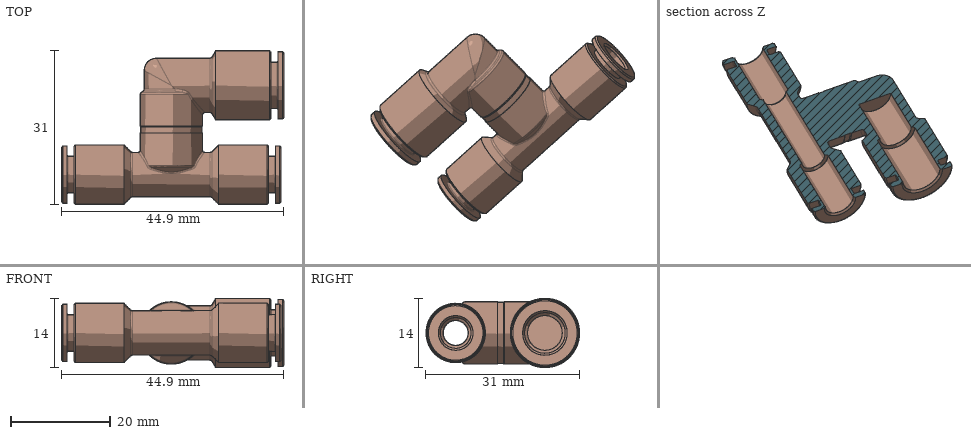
import cadquery as cq
import math

run_half_length = 22.15
elbow_length = 22.75
elbow_offset = 18.0

run_pipe_radius = 4.5
run_collar_radius = 6.0
run_neck_radius = 3.7
run_flange_radius = 5.8
run_collar_start = 9.55
run_collar_end = 19.65
run_flange_start = 21.0
run_taper_length = 1.5

elbow_pipe_radius = 5.5
elbow_collar_radius = 7.0
elbow_neck_radius = 4.7
elbow_flange_radius = 6.8
elbow_collar_start = 8.95
elbow_collar_end = 20.1
elbow_flange_start = 21.5
elbow_taper_length = 0.87

pipe_start = 7.0
rim_chamfer = 0.3
taper_fillet = 0.55
neck_fillet = 0.2

branch_radius = 6.3
groove_radius = 6.2
groove_start = 8.4
groove_end = 9.6
groove_chamfer_length = 0.25
branch_foot = 1.6
branch_top = 16.45
cone_tip_radius = 3.0
cone_half_angle = 57.0
branch_rim_fillet = 0.5
foot_fillet = 0.4
top_fillet = 0.5

corner_fillet = 2.5
corner_core_depth = 1.5

neck_wall = 0.6
bore_step = 0.6
socket_depth = 12.5
socket_chamfer = 0.4
socket_cone_length = 0.35

cone_length = (branch_radius - cone_tip_radius) / math.tan(math.radians(cone_half_angle))
pick_margin = 0.1


def revolve_about_x(points):
    return cq.Workplane("XY").polyline(points).close().revolve(360, (0, 0, 0), (1, 0, 0))


def revolve_about_y(points):
    return cq.Workplane("XY").polyline(points).close().revolve(360, (0, 0, 0), (0, 1, 0))


def prism(points):
    """Prism along Z, centred on Z = 0 and taller than the part."""
    return cq.Workplane("XY").polyline(points).close().extrude(2 * elbow_collar_radius, both=True)


def box_selector(x_range, y_range, radius):
    """Select edges lying wholly inside the given X and Y ranges and |Z| < radius."""
    return cq.selectors.BoxSelector(
        (x_range[0] - pick_margin, y_range[0] - pick_margin, -radius - pick_margin),
        (x_range[1] + pick_margin, y_range[1] + pick_margin, radius + pick_margin),
        boundingbox=True,
    )


def make_port(pipe_radius, collar_radius, neck_radius, flange_radius,
              collar_start, taper_length, collar_end, flange_start, end):
    """Solid port along +X: pipe, tapered collar, neck and end flange."""
    pipe_end = collar_start - taper_length
    port = revolve_about_x([
        (pipe_start, 0),
        (pipe_start, pipe_radius),
        (pipe_end, pipe_radius),
        (collar_start, collar_radius),
        (collar_end - rim_chamfer, collar_radius),
        (collar_end, collar_radius - rim_chamfer),
        (collar_end, neck_radius),
        (flange_start, neck_radius),
        (flange_start, flange_radius),
        (end - rim_chamfer, flange_radius),
        (end, flange_radius - rim_chamfer),
        (end, 0),
    ])
    for x, radius, fillet in ((pipe_end, pipe_radius, taper_fillet), (flange_start, neck_radius, neck_fillet)):
        port = port.edges(box_selector((x, x), (-radius, radius), radius)).fillet(fillet)
    return port


def fillet_branch_rim(body, y):
    rim = box_selector((-branch_radius, branch_radius), (y, y), branch_radius)
    return body.edges(rim).fillet(branch_rim_fillet)


def fillet_junction(body, y_range, fillet):
    """Round the curves where the branch meets the pipe crossing it."""
    near = box_selector((-branch_radius, branch_radius), y_range, branch_radius)
    curves = []
    for edge in body.edges(near).vals():
        box = edge.BoundingBox()
        is_shoulder_ring = edge.geomType() == "CIRCLE" and edge.Center().y > branch_top
        is_crossing_curve = edge.geomType() == "BSPLINE" and box.ylen > pick_margin
        if is_shoulder_ring or is_crossing_curve:
            curves.append(edge)
    return cq.Workplane(body.val().fillet(fillet, curves))


def make_tee():
    foot = revolve_about_y([
        (0, branch_foot - cone_length),
        (cone_tip_radius, branch_foot - cone_length),
        (branch_radius, branch_foot),
        (branch_radius, groove_start),
        (0, groove_start),
    ])
    pipe = cq.Workplane("YZ").circle(run_pipe_radius).extrude(pipe_start, both=True)
    tee = pipe.union(fillet_branch_rim(foot, branch_foot))
    tee = fillet_junction(tee, (0, run_pipe_radius), foot_fillet)
    port = make_port(run_pipe_radius, run_collar_radius, run_neck_radius, run_flange_radius,
                     run_collar_start, run_taper_length, run_collar_end, run_flange_start, run_half_length)
    return tee.union(port).union(port.mirror("YZ")).clean()


def make_bend(radius, leg_start, outlet_end):
    """Square bend: a leg along Y and an outlet along X, cut on their shared mitre plane."""
    size = 2 * elbow_length
    outlet_side = prism([
        (-size, elbow_offset + size),
        (size, elbow_offset - size),
        (size, elbow_offset + size),
    ])
    bend_end = elbow_offset + 2 * radius
    leg = cq.Workplane("XZ", origin=(0, leg_start, 0)).circle(radius).extrude(leg_start - bend_end)
    outlet = cq.Workplane("YZ", origin=(-2 * radius, elbow_offset, 0)).circle(radius)
    outlet = outlet.extrude(outlet_end + 2 * radius)
    return leg.cut(outlet_side).union(outlet.intersect(outlet_side))


def round_corner(elbow):
    """Round the outer mitre edge; the rounding fades out where the edge meets the bend's top and bottom.

    A ball of the fillet radius touching both pipes has its centre on an ellipse in the mitre plane.
    The pipes are cut back to the planes holding the ball's contact curves and the swept ball fills the gap.
    """
    core_radius = elbow_pipe_radius - corner_fillet
    wedge = prism([
        (0, elbow_offset),
        (-4 * elbow_pipe_radius, elbow_offset + 4 * core_radius),
        (-4 * core_radius, elbow_offset + 4 * elbow_pipe_radius),
    ])
    mitre_plane = cq.Plane(origin=(0, elbow_offset, 0), xDir=(-1, 1, 0), normal=(-1, -1, 0))
    path = cq.Workplane(mitre_plane).moveTo(0, -core_radius)
    path = path.ellipseArc(core_radius * math.sqrt(2), core_radius, -90, 90, startAtCurrent=True)
    section_plane = cq.Plane(origin=(0, elbow_offset, -core_radius), xDir=(1, 1, 0), normal=(-1, 1, 0))
    section = (
        cq.Workplane(section_plane)
        .moveTo(-corner_fillet, -corner_core_depth)
        .lineTo(-corner_fillet, 0)
        .threePointArc((0, corner_fillet), (corner_fillet, 0))
        .lineTo(corner_fillet, -corner_core_depth)
        .close()
    )
    core = make_bend(core_radius, elbow_offset - elbow_pipe_radius, elbow_pipe_radius)
    corner = section.sweep(path).union(core).intersect(wedge)
    return elbow.cut(wedge).union(corner)


def make_elbow():
    upper = revolve_about_y([
        (0, groove_start),
        (groove_radius, groove_start),
        (groove_radius, groove_end),
        (branch_radius, groove_end + groove_chamfer_length),
        (branch_radius, branch_top),
        (cone_tip_radius, branch_top + cone_length),
        (0, branch_top + cone_length),
    ])
    bend = make_bend(elbow_pipe_radius, groove_end, pipe_start)
    elbow = bend.union(fillet_branch_rim(upper, branch_top))
    elbow = fillet_junction(elbow, (elbow_offset - elbow_pipe_radius, elbow_offset), top_fillet)
    elbow = round_corner(elbow)
    port = make_port(elbow_pipe_radius, elbow_collar_radius, elbow_neck_radius, elbow_flange_radius,
                     elbow_collar_start, elbow_taper_length, elbow_collar_end, elbow_flange_start, elbow_length)
    return elbow.union(port.translate((0, elbow_offset, 0)))


def make_bore(neck_radius, end):
    """Cutter for one port, from the branch axis out to the flange: bore, cone, tube socket and mouth."""
    socket_radius = neck_radius - neck_wall
    bore_radius = socket_radius - bore_step
    socket_start = end - socket_depth
    return revolve_about_x([
        (0, 0),
        (0, bore_radius),
        (socket_start - socket_cone_length, bore_radius),
        (socket_start, socket_radius),
        (end - socket_chamfer, socket_radius),
        (end, socket_radius + socket_chamfer),
        (end, 0),
    ])


run_bore = make_bore(run_neck_radius, run_half_length)
elbow_bore = make_bore(elbow_neck_radius, elbow_length).translate((0, elbow_offset, 0))

result = make_tee().union(make_elbow())
result = result.cut(run_bore).cut(run_bore.mirror("YZ")).cut(elbow_bore)